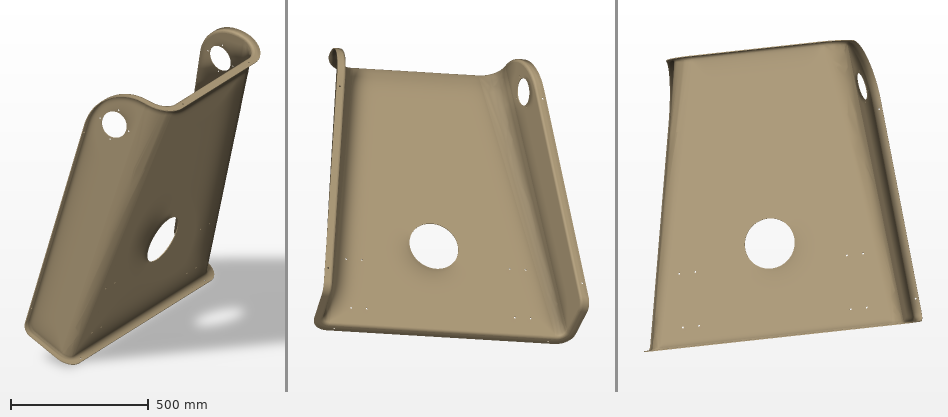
import cadquery as cq
import math

THICKNESS = 3.0
FLANGE_WIDTH = 33.0
BEND_RADIUS = 10.0

BACK_TILT = 17.4
FRONT_TILT = 13.1
TOP_SLOPE = 23.8
BOTTOM_SLOPE = 29.4
BACK_LENGTH = 1072.3
BOTTOM_DEPTH = 191.6
TOP_CORNER_RADIUS = 177.0
BOTTOM_CORNER_RADIUS = 45.0

BOTTOM_HALF_WIDTH = 465.1
WALL_TAPER = 8.1
WALL_FLARE = 5.4
BOTTOM_FILLET = 35.0
TOP_FILLET = 82.0

WALL_HOLE = 100.0
WALL_HOLE_HEIGHT = 880.0
WALL_HOLE_INSET = 97.0
BOLT_COUNT = 4
BOLT_CIRCLE_RADIUS = 60.0

BACK_HOLE = 186.0
BACK_HOLE_HEIGHT = 350.0
GRID_HEIGHTS = (75.0, 275.0)
GRID_OFFSETS = (283.0, 343.0)

SMALL_HOLE = 7.0
FLANGE_HOLE_INSET = 12.5
TOP_HOLE_OFFSET = 218.0
BOTTOM_HOLE_OFFSET = 409.0
FRONT_HOLE_HEIGHTS = (88.0, 814.0)

SIDES = (-1, 1)
TOLERANCE = 0.05
DRILL_DEPTH = 20.0
REACH = 2000.0


def heading(angle):
    """Unit X-Z vector at an angle above +X, in degrees."""
    return cq.Vector(math.cos(math.radians(angle)), 0, math.sin(math.radians(angle)))


BACK_UP = heading(90 - BACK_TILT)
BACK_INWARD = heading(180 - BACK_TILT)
FRONT_UP = heading(90 - FRONT_TILT)
TOP_BACKWARD = heading(-TOP_SLOPE)
BOTTOM_BACKWARD = heading(-BOTTOM_SLOPE)


def crossing(point_a, dir_a, point_b, dir_b):
    """Where two X-Z lines cross."""
    gap = point_b - point_a
    along = (gap.x * dir_b.z - gap.z * dir_b.x) / (dir_a.x * dir_b.z - dir_a.z * dir_b.x)
    return point_a + dir_a * along


BOTTOM_BACK = cq.Vector(0, 0, 0)
TOP_BACK = BACK_UP * BACK_LENGTH
BOTTOM_FRONT = BOTTOM_BACKWARD * -BOTTOM_DEPTH
TOP_FRONT = crossing(BOTTOM_FRONT, FRONT_UP, TOP_BACK, TOP_BACKWARD)


def side_block(inset):
    """Block with the side profile, all edges moved inwards by inset; runs past the back panel."""
    past = 200.0
    outline = [
        BOTTOM_BACK + BOTTOM_BACKWARD * past,
        TOP_BACK + TOP_BACKWARD * past,
        TOP_FRONT,
        BOTTOM_FRONT,
    ]
    block = (
        cq.Workplane("XZ")
        .polyline([(p.x, p.z) for p in outline])
        .close()
        .extrude(REACH / 2, both=True)
    )

    def corner(point):
        return cq.selectors.NearestToPointSelector((point.x, 0, point.z))

    block = block.edges(corner(TOP_FRONT)).fillet(TOP_CORNER_RADIUS)
    block = block.edges(corner(BOTTOM_FRONT)).fillet(BOTTOM_CORNER_RADIUS)
    if inset:
        wire = block.faces("<Y").wires().val().offset2D(-inset)[0]
        block = cq.Workplane(cq.Solid.extrudeLinear(wire, [], cq.Vector(0, REACH, 0)))
    return block


def half_width(height):
    """Cavity half-width where wall and back panel planes meet, at a height along the back."""
    return BOTTOM_HALF_WIDTH - math.tan(math.radians(WALL_TAPER)) * height


def channel(growth):
    """Tapered U-channel solid: the cavity, with back and walls moved outwards by growth."""
    flare = math.radians(WALL_FLARE)
    depth = 600.0

    def section(height):
        half = half_width(height) + growth * (1 / math.cos(flare) - math.tan(flare))
        radius = BOTTOM_FILLET + (TOP_FILLET - BOTTOM_FILLET) * height / BACK_LENGTH + growth
        tangent = radius * math.tan((math.pi / 2 - flare) / 2)
        flat = half - tangent
        centre = radius - growth
        wall_y = half + tangent * math.sin(flare)
        wall_n = tangent * math.cos(flare) - growth
        bisector = -math.pi / 4 - flare / 2
        mid_y = flat + radius * math.cos(bisector)
        mid_n = centre + radius * math.sin(bisector)
        rim_y = half + (depth + growth) * math.tan(flare)
        plane = cq.Plane(BACK_UP * height, xDir=(0, 1, 0), normal=BACK_UP)
        return (
            cq.Workplane(plane)
            .moveTo(-flat, -growth)
            .lineTo(flat, -growth)
            .threePointArc((mid_y, mid_n), (wall_y, wall_n))
            .lineTo(rim_y, depth)
            .lineTo(-rim_y, depth)
            .lineTo(-wall_y, wall_n)
            .threePointArc((-mid_y, mid_n), (-flat, -growth))
            .close()
            .wires()
            .val()
        )

    margin = 250.0
    return cq.Workplane(
        cq.Solid.makeLoft([section(-margin), section(BACK_LENGTH + margin)], True)
    )


def shared_edges(body, solid_a, solid_b):
    """Edges of body that lie on the surfaces of both solids."""
    shells = [solid.val().Shells()[0] for solid in (solid_a, solid_b)]

    def on_both(edge):
        middle = cq.Vertex.makeVertex(*edge.positionAt(0.5).toTuple())
        return all(shell.distance(middle) < TOLERANCE for shell in shells)

    return body.edges().filter(on_both)


def sheet():
    """Channel walls with the outward flange along their free edges, and the bend between them."""
    outer_block = side_block(0)
    inner_block = side_block(THICKNESS)
    cavity = channel(0)
    outer_channel = channel(THICKNESS)
    flange = outer_block.cut(inner_block).intersect(channel(FLANGE_WIDTH))
    walls = outer_block.intersect(outer_channel)
    body = walls.union(flange).cut(cavity)
    body = shared_edges(body, outer_block, cavity).fillet(BEND_RADIUS)
    return shared_edges(body, inner_block, outer_channel).fillet(BEND_RADIUS - THICKNESS)


def drill(start, direction, diameter, length):
    """Cylinder from start along direction."""
    return cq.Workplane(cq.Solid.makeCylinder(diameter / 2, length, start, direction))


def sideways(point, y):
    """The point moved along Y."""
    return point + cq.Vector(0, y, 0)


def wall_hole_tools():
    """Round opening and its bolt circle, through both side walls along Y."""
    front_inward = heading(-FRONT_TILT)
    centre = BOTTOM_FRONT + FRONT_UP * WALL_HOLE_HEIGHT + front_inward * WALL_HOLE_INSET
    start = sideways(centre, -REACH / 2)
    across = cq.Vector(0, 1, 0)
    tools = [drill(start, across, WALL_HOLE, REACH)]
    for i in range(BOLT_COUNT):
        radial = heading(i * 360 / BOLT_COUNT - FRONT_TILT) * BOLT_CIRCLE_RADIUS
        tools.append(drill(start + radial, across, SMALL_HOLE, REACH))
    return tools


def back_hole_tools():
    """Large central opening and the grid of small holes, square to the back panel."""
    start = BACK_INWARD * -DRILL_DEPTH / 2
    tools = [drill(start + BACK_UP * BACK_HOLE_HEIGHT, BACK_INWARD, BACK_HOLE, DRILL_DEPTH)]
    for height in GRID_HEIGHTS:
        for offset in GRID_OFFSETS:
            for side in SIDES:
                place = sideways(start + BACK_UP * height, side * offset)
                tools.append(drill(place, BACK_INWARD, SMALL_HOLE, DRILL_DEPTH))
    return tools


def flange_hole_tools():
    """Small holes through the flange: a pair at the top, a pair at the bottom, two per side."""
    past_back = FLANGE_WIDTH - FLANGE_HOLE_INSET
    top = TOP_BACK + TOP_BACKWARD * (past_back / math.cos(math.radians(TOP_SLOPE - BACK_TILT)))
    bottom = BOTTOM_BACK + BOTTOM_BACKWARD * (past_back / math.cos(math.radians(BOTTOM_SLOPE - BACK_TILT)))
    places = [
        (top, TOP_HOLE_OFFSET, heading(90 - TOP_SLOPE)),
        (bottom, BOTTOM_HOLE_OFFSET, heading(90 - BOTTOM_SLOPE)),
    ]
    for height in FRONT_HOLE_HEIGHTS:
        point = BOTTOM_FRONT + FRONT_UP * height
        flare_gain = point.dot(BACK_INWARD) * math.tan(math.radians(WALL_FLARE))
        offset = half_width(point.dot(BACK_UP)) + flare_gain + past_back
        places.append((point, offset, heading(-FRONT_TILT)))
    return [
        drill(sideways(point, side * offset) - axis * (DRILL_DEPTH / 2), axis, SMALL_HOLE, DRILL_DEPTH)
        for point, offset, axis in places
        for side in SIDES
    ]


result = sheet()
for tool in wall_hole_tools() + back_hole_tools() + flange_hole_tools():
    result = result.cut(tool)